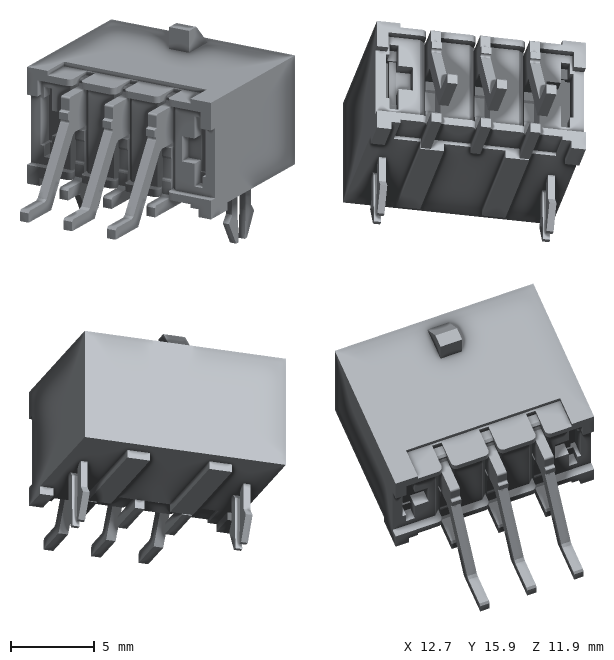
import cadquery as cq
import math


width = 12.7
depth = 9.89
top_z = 7.36
bottom_z = 0.5
half_width = width / 2

wall_y = 0.5
top_plate_z = 6.65
bottom_plate_z = 1.2
lug_x = 5.65
lug_z = 5.61

step_x = 4.93
step_y = 1.92
top_step_z = 7.08
bottom_step_z = 0.72

corner_foot_x = 5.49
inner_foot_x = 1.88
inner_foot_width = 1.43
inner_foot_end_y = 8.89

latch_width = 1.38
latch_top_z = 8.75
latch_rear_y = 7.08
latch_crest_y = 7.92
latch_front_y = 9.24

pin_pitch = 3.0
pin_width = 0.6
slot_end_y = 1.81
mouth_flare = 0.32
pin_columns = [-pin_pitch, 0, pin_pitch]
foot_height = 0.72
foot_chamfer = 0.13
upper_foot_end_y = -6.01
lower_foot_end_y = -1.37

clip_x = 4.93
clip_thickness = 0.43
clip_bottom_z = 2.4
clip_top_z = 5.4
clip_face_y = 1.32
clip_relief_y = 1.51
window_end_y = 1.27
slot_outer_x = 5.49
slot_bottom_z = 1.69
slot_top_z = 6.1
clip_slot_end_y = 1.21
relief_outer_x = 5.71
window_inner_x = 4.05
window_bottom_z = 3.12
window_top_z = 4.7
leg_center_y = 5.3
leg_bottom_z = -3.12


def box(x_range, y_range, z_range):
    """Axis-aligned block between the given limits."""
    (x0, x1), (y0, y1), (z0, z1) = x_range, y_range, z_range
    return cq.Workplane("XY").box(x1 - x0, y1 - y0, z1 - z0, centered=False).translate((x0, y0, z0))


def both_sides(shape):
    """The shape together with its mirror image across X = 0."""
    return shape.union(shape.mirror("YZ"))


def slab(profile, thickness, center_x):
    """Closed YZ profile extruded along X, centred on center_x."""
    return profile.close().extrude(thickness / 2, both=True).translate((center_x, 0, 0))


def make_housing():
    body = box((-half_width, half_width), (0, depth), (bottom_z, top_z))
    body = body.cut(box((-half_width, half_width), (0, wall_y), (bottom_plate_z, lug_z)))
    body = body.cut(box((-lug_x, lug_x), (0, wall_y), (lug_z, top_plate_z)))
    body = body.cut(box((-step_x, step_x), (0, step_y), (top_step_z, top_z)))
    body = body.cut(box((-step_x, step_x), (0, step_y), (bottom_z, bottom_step_z)))
    corner_foot = box((corner_foot_x, half_width), (0, step_y), (0, bottom_z))
    inner_foot = box(
        (inner_foot_x, inner_foot_x + inner_foot_width), (step_y, inner_foot_end_y), (0, bottom_z)
    )
    return body.union(both_sides(corner_foot)).union(both_sides(inner_foot))


def make_latch():
    profile = cq.Workplane("YZ").polyline([
        (latch_rear_y, top_z),
        (latch_rear_y, latch_top_z),
        (latch_crest_y, latch_top_z),
        (latch_front_y, top_z),
    ])
    return slab(profile, latch_width, 0)


def make_pin_slot():
    """Slot with 45 degree mouth in the wall and rounded mouths in the plates."""
    half = pin_width / 2
    mouth = half + mouth_flare
    slot = box((-half, half), (0, slot_end_y), (bottom_z, top_step_z))
    wall_mouth = (
        cq.Workplane("XY", origin=(0, 0, bottom_plate_z))
        .polyline([
            (-mouth, wall_y),
            (mouth, wall_y),
            (half, wall_y + mouth_flare),
            (-half, wall_y + mouth_flare),
        ])
        .close()
        .extrude(top_plate_z - bottom_plate_z)
    )
    bulge = mouth_flare * math.sqrt(0.5)
    plate_mouth = (
        cq.Workplane("XY", origin=(0, 0, bottom_z))
        .moveTo(-mouth, 0)
        .lineTo(mouth, 0)
        .threePointArc((mouth - bulge, mouth_flare - bulge), (half, mouth_flare))
        .lineTo(-half, mouth_flare)
        .threePointArc((-mouth + bulge, mouth_flare - bulge), (-mouth, 0))
        .close()
        .extrude(top_step_z - bottom_z)
        .cut(box((-mouth, mouth), (0, wall_y), (bottom_plate_z, top_plate_z)))
    )
    return slot.union(wall_mouth).union(plate_mouth)


def make_upper_pin(center_x):
    """Pin that leaves the wall high up and slants down to a foot on the board."""
    block_bottom_z = 4.09
    block_top_z = 6.44
    block_end_y = -1.2
    corner_radius = 0.13
    corner_bulge = corner_radius * math.sqrt(0.5)
    corner_y = block_end_y + corner_radius
    corner_z = block_top_z - corner_radius
    nub_end_y = -1.42
    nub_bottom_z = 5.05
    nub_top_z = 5.5
    barb_step_z = 6.6
    barb_top_z = 6.87
    barb_front_y = 0.87
    barb_step_y = 0.99
    barb_crest_y = 1.15
    barb_end_y = 1.7

    profile = (
        cq.Workplane("YZ")
        .moveTo(slot_end_y, block_bottom_z)
        .lineTo(-0.57, block_bottom_z)
        .lineTo(-0.81, 3.95)
        .lineTo(-3.35, 0)
        .lineTo(upper_foot_end_y, 0)
        .lineTo(upper_foot_end_y, foot_height - foot_chamfer)
        .lineTo(upper_foot_end_y + foot_chamfer, foot_height)
        .lineTo(-4.1, foot_height)
        .lineTo(-3.91, 0.83)
        .lineTo(-1.29, 4.8)
        .threePointArc((-1.24, 4.93), (nub_end_y, nub_bottom_z))
        .lineTo(nub_end_y, nub_top_z)
        .threePointArc((-1.37, 5.53), (-1.29, 5.55))
        .threePointArc((-1.22, 5.56), (block_end_y, 5.61))
        .lineTo(block_end_y, corner_z)
        .threePointArc((corner_y - corner_bulge, corner_z + corner_bulge), (corner_y, block_top_z))
        .lineTo(barb_front_y, block_top_z)
        .lineTo(barb_step_y, barb_step_z)
        .lineTo(barb_step_y, 6.75)
        .lineTo(barb_crest_y, barb_top_z)
        .lineTo(barb_end_y, barb_top_z)
        .lineTo(barb_end_y, barb_step_z)
        .lineTo(slot_end_y, barb_step_z)
    )
    return slab(profile, pin_width, center_x)


def make_lower_pin(center_x):
    """Upright pin in the lower half of the slot with a short foot on the board."""
    pin_top_z = 3.82
    face_y = 0.48
    waist_y = 0.55
    waist_bottom_z = 1.88
    waist_top_z = 3.1

    profile = (
        cq.Workplane("YZ")
        .moveTo(slot_end_y, 0)
        .lineTo(lower_foot_end_y, 0)
        .lineTo(lower_foot_end_y, foot_height - foot_chamfer)
        .lineTo(lower_foot_end_y + foot_chamfer, foot_height)
        .lineTo(face_y - foot_chamfer, foot_height)
        .lineTo(face_y, foot_height + foot_chamfer)
        .lineTo(face_y, 1.65)
        .threePointArc((0.5, 1.72), (0.51, 1.76))
        .threePointArc((0.54, 1.81), (waist_y, waist_bottom_z))
        .lineTo(waist_y, waist_top_z)
        .lineTo(face_y, 3.25)
        .lineTo(face_y, pin_top_z)
        .lineTo(slot_end_y, pin_top_z)
    )
    return slab(profile, pin_width, center_x)


def make_clip_pocket():
    """Slot, side relief and window around the clip on the +X side."""
    slot = box((clip_x, slot_outer_x), (wall_y, clip_slot_end_y), (slot_bottom_z, slot_top_z))
    relief = box((clip_x, relief_outer_x), (wall_y, clip_relief_y), (clip_bottom_z, clip_top_z))
    window = box((window_inner_x, clip_x), (wall_y, window_end_y), (window_bottom_z, window_top_z))
    clip = box((clip_x, clip_x + clip_thickness), (clip_face_y, clip_relief_y), (clip_bottom_z, clip_top_z))
    return slot.union(relief).union(window).cut(clip)


def make_clip_leg(side):
    """Barbed leg of the +X clip; side is +1 or -1 along Y."""
    inner_y = 0.48
    outer_y = 1.1
    barb_tip_y = 1.48
    outline = [
        (0.78, bottom_z),
        (inner_y, 0.19),
        (inner_y, -1.34),
        (0.35, leg_bottom_z),
        (0.64, leg_bottom_z),
        (barb_tip_y, -1.64),
        (outer_y, -1.16),
        (outer_y, bottom_z),
    ]
    profile = cq.Workplane("YZ").polyline([(leg_center_y + side * y, z) for y, z in outline])
    return slab(profile, clip_thickness, clip_x + clip_thickness / 2)


result = make_housing().union(make_latch())
result = result.cut(both_sides(make_clip_pocket()))
for column_x in pin_columns:
    result = result.cut(make_pin_slot().translate((column_x, 0, 0)))
    result = result.union(make_upper_pin(column_x)).union(make_lower_pin(column_x))
for leg_side in (1, -1):
    result = result.union(both_sides(make_clip_leg(leg_side)))